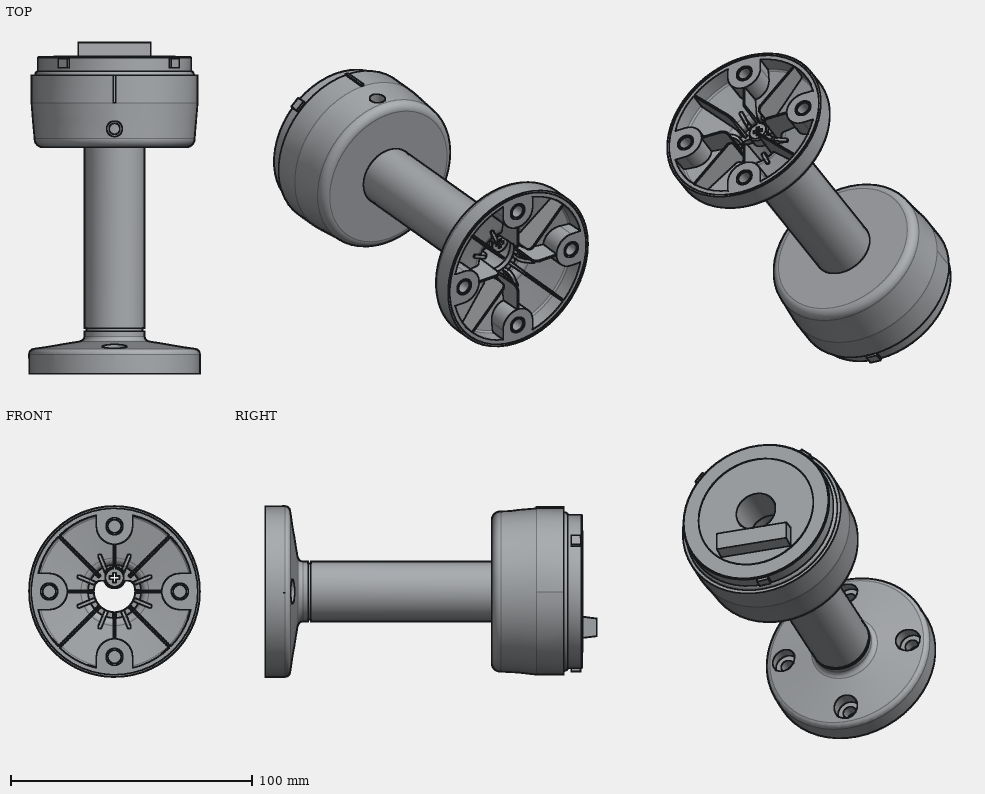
import cadquery as cq
import math

OVERALL_LENGTH = 137.5

SELECT_MARGIN = 0.1

ARC_BEND = 1 - math.sqrt(0.5)

FOOT_RADIUS = 35.5
FOOT_RIM_TOP = 10.0
FOOT_EDGE_FILLET = 2.3
CONE_TOP_RADIUS = 12.5
CONE_TOP = 13.8
NECK_FILLET = 2.2
FACE_RADIUS = 34.5
FACE_RECESS = 0.1
BOWL_MOUTH_RADIUS = 32.6
BOWL_FLOOR_RADIUS = 32.3
CONE_WALL = 2.9
BOWL_FLOOR_FILLET = 0.8
BOWL_FILLET = 3.0

POLE_RADIUS = 12.5
POLE_BORE_RADIUS = 11.0
POLE_END = 112.8
GROOVE_START = 17.7
GROOVE_WIDTH = 1.2
GROOVE_RADIUS = 11.7

PAD_COUNT = 4
PAD_WIDTH = 15.0
PAD_PITCH_RADIUS = 27.1
SCREW_HOLE_DIAMETER = 5.5
SCREW_HOLE_MOUTH_DIAMETER = 7.0
SCREW_HOLE_MOUTH_DEPTH = 0.3
COUNTERBORE_DIAMETER = 10.0
COUNTERBORE_FLOOR = 6.2

RIB_COUNT = 8
RIB_EDGE_THICKNESS = 0.7
RIB_ROOT_THICKNESS = 1.4
WEB_INNER_RADIUS = 8.7
WEB_CORNER_RADIUS = 2.8
WEB_END = 16.5
FIN_COUNT = 8
FIN_THICKNESS = 1.5
FIN_OUTER_RADIUS = 16.6
FIN_EDGE = 9.6

PLATE_FRONT = 15.1
PLATE_THICKNESS = 2.8
BOSS_FACE = 13.0
OPENING_DIAMETER = 17.0
OPENING_TOP_Z = 4.4
OPENING_CORNER_FILLET = 2.5
BOSS_Z = 5.8
BOSS_DIAMETER = 9.0
BOSS_FACE_DIAMETER = 7.5
BOSS_WIDTH = 7.8
CROSS_LENGTH = 4.0
CROSS_WIDTH = 1.2

HEAD_FRONT = 93.9
HEAD_FRONT_FILLET = 3.6
TAPER_START = 97.6
TAPER_START_RADIUS = 33.3
RING_FRONT = 112.3
RING_BACK = 123.9
RING_RADIUS = 34.5
COLLAR_BACK = 125.5
COLLAR_RADIUS = 33.0
COLLAR_ROUND = 1.8
RIM_RADIUS = 31.9
RIM_BACK = 131.5
RIM_CHAMFER = 0.4
BACK_DISC_RADIUS = 25.0
BACK_DISC_HEIGHT = 0.3
MARK_WIDTH = 1.2
MARK_HEIGHT = 0.5

LUG_ANGLES = (40.5, 130.5, 265.5)
LUG_WIDTH = 4.8
LUG_RADIUS = 33.1
LUG_FRONT = 126.9
LUG_BACK = 130.8

PLUG_WIDTH = 30.2
PLUG_CENTRE_Z = -14.8
PLUG_ROOT_HEIGHT = 9.0
PLUG_TIP_HEIGHT = 7.4

SET_SCREW_Y = 101.6
SET_SCREW_MOUTH_DIAMETER = 6.5
SET_SCREW_DIAMETER = 4.5
SET_SCREW_STEP_RADIUS = 27.5


def plane_at(y):
    """Plane facing -Y at the given height; its local axes are X and Z. Extrude negative to go to +Y."""
    return cq.Workplane("XZ", origin=(0, y, 0))


def disc(radius, start, end, x=0.0, z=0.0):
    """Cylinder along Y between two heights."""
    return plane_at(start).center(x, z).circle(radius).extrude(start - end)


def turned(outline):
    """Revolve a closed (radius, height) outline around the Y axis."""
    return outline.close().revolve(360, (0, 0, 0), (0, 1, 0))


def fillet_edge_at(body, height, radius):
    """Round the circular edge of a turned body that lies at one height."""
    reach = FOOT_RADIUS + SELECT_MARGIN
    level = cq.selectors.BoxSelector(
        (-reach, height - SELECT_MARGIN, -reach),
        (reach, height + SELECT_MARGIN, reach),
    )
    return body.edges("%CIRCLE").edges(level).fillet(radius)


def around_axis(shape, angle):
    """Turn a shape around Y, anticlockwise as seen from the foot, starting at +X."""
    return shape.rotate((0, 0, 0), (0, 1, 0), -angle)




def stand_envelope():
    """Outside of the foot and the pole, still solid and without the groove."""
    outline = (
        cq.Workplane("XY")
        .moveTo(0, 0)
        .lineTo(FOOT_RADIUS, 0)
        .lineTo(FOOT_RADIUS, FOOT_RIM_TOP)
        .lineTo(CONE_TOP_RADIUS, CONE_TOP)
        .lineTo(POLE_RADIUS, POLE_END)
        .lineTo(0, POLE_END)
    )
    body = fillet_edge_at(turned(outline), FOOT_RIM_TOP, FOOT_EDGE_FILLET)
    return fillet_edge_at(body, CONE_TOP, NECK_FILLET)


def cone_inside(radius):
    """Height of the inner cone surface of the foot at a radius."""
    slope = (CONE_TOP - FOOT_RIM_TOP) / (FOOT_RADIUS - CONE_TOP_RADIUS)
    return CONE_TOP - CONE_WALL - slope * (radius - CONE_TOP_RADIUS)


def stand_cavity():
    """Bowl of the foot running with a rounded throat into the bore of the pole."""
    throat_radius = POLE_BORE_RADIUS + BOWL_FILLET
    throat_start = cone_inside(throat_radius)
    throat_end = throat_start + BOWL_FILLET
    bend = BOWL_FILLET * ARC_BEND
    outline = (
        cq.Workplane("XY")
        .moveTo(0, 0)
        .lineTo(BOWL_MOUTH_RADIUS, 0)
        .lineTo(BOWL_FLOOR_RADIUS, cone_inside(BOWL_FLOOR_RADIUS))
        .lineTo(throat_radius, throat_start)
        .threePointArc((POLE_BORE_RADIUS + bend, throat_start + bend), (POLE_BORE_RADIUS, throat_end))
        .lineTo(POLE_BORE_RADIUS, POLE_END)
        .lineTo(0, POLE_END)
    )
    return fillet_edge_at(turned(outline), cone_inside(BOWL_FLOOR_RADIUS), BOWL_FLOOR_FILLET)


def screw_pad():
    """Round-ended pad on the +X side, reaching outward into the rim."""
    round_end = disc(PAD_WIDTH / 2, 0, CONE_TOP, x=PAD_PITCH_RADIUS)
    length = FOOT_RADIUS - PAD_PITCH_RADIUS
    block = (
        plane_at(0)
        .center(PAD_PITCH_RADIUS + length / 2, 0)
        .rect(length, PAD_WIDTH)
        .extrude(-CONE_TOP)
    )
    return round_end.union(block)


def screw_hole():
    """Screw hole on the +X side with a shallow wider mouth and a counterbore from the cone."""
    hole = disc(SCREW_HOLE_DIAMETER / 2, 0, CONE_TOP, x=PAD_PITCH_RADIUS)
    counterbore = disc(COUNTERBORE_DIAMETER / 2, COUNTERBORE_FLOOR, CONE_TOP, x=PAD_PITCH_RADIUS)
    mouth_floor = FACE_RECESS + SCREW_HOLE_MOUTH_DEPTH
    mouth = disc(SCREW_HOLE_MOUTH_DIAMETER / 2, 0, mouth_floor, x=PAD_PITCH_RADIUS)
    return hole.union(counterbore).union(mouth)


def web_outline(edge):
    """Radial half-plane outline, from a free edge at the given height down to the bore, corner rounded."""
    corner = WEB_CORNER_RADIUS
    bend = corner * ARC_BEND
    return (
        cq.Workplane("XY")
        .moveTo(FOOT_RADIUS, edge)
        .lineTo(WEB_INNER_RADIUS + corner, edge)
        .threePointArc(
            (WEB_INNER_RADIUS + bend, edge + bend),
            (WEB_INNER_RADIUS, edge + corner),
        )
        .lineTo(WEB_INNER_RADIUS, WEB_END)
        .lineTo(FOOT_RADIUS, WEB_END)
        .close()
    )


def rib():
    """Rib on the +X side from the rim to just inside the bore, thinner at its free edge."""
    edge = RIB_EDGE_THICKNESS / 2
    root = RIB_ROOT_THICKNESS / 2
    section = cq.Workplane("YZ").polyline([(0, -edge), (WEB_END, -root), (WEB_END, root), (0, edge)])
    bar = section.close().extrude(FOOT_RADIUS)
    return bar.intersect(web_outline(0).extrude(RIB_ROOT_THICKNESS, both=True))


def fin():
    """Short round-ended fin on the +X side, standing out of the throat."""
    length = 2 * FIN_OUTER_RADIUS
    bar = plane_at(0).slot2D(length, FIN_THICKNESS).extrude(-WEB_END)
    return bar.intersect(web_outline(FIN_EDGE).extrude(FIN_THICKNESS, both=True))


def throat_plate():
    """Plate across the bore with a cable opening: round with a flat top, indented around the screw boss."""
    start = PLATE_FRONT
    end = PLATE_FRONT + PLATE_THICKNESS
    below_top = (
        plane_at(start)
        .center(0, OPENING_TOP_Z - OPENING_DIAMETER / 2)
        .rect(OPENING_DIAMETER, OPENING_DIAMETER)
        .extrude(start - end)
    )
    opening = disc(OPENING_DIAMETER / 2, start, end).intersect(below_top)
    opening = opening.edges("|Y").edges(">Z").fillet(OPENING_CORNER_FILLET)
    opening = opening.cut(disc(BOSS_DIAMETER / 2, start, end, z=BOSS_Z))
    return disc(POLE_BORE_RADIUS, start, end).cut(opening)


def screw_boss():
    """Chamfered boss with two flats, standing from the throat plate towards the bowl."""
    boss = disc(BOSS_DIAMETER / 2, BOSS_FACE, PLATE_FRONT, z=BOSS_Z)
    boss = boss.faces("<Y").chamfer((BOSS_DIAMETER - BOSS_FACE_DIAMETER) / 2)
    between_flats = plane_at(0).center(0, BOSS_Z).rect(BOSS_WIDTH, BOSS_DIAMETER).extrude(-PLATE_FRONT)
    return boss.intersect(between_flats)


def boss_clearance():
    """Room in front of the screw boss, so that the rib and fins beside it stop short."""
    return disc(BOSS_DIAMETER / 2, 0, BOSS_FACE, z=BOSS_Z)


def cross_hole():
    """Cross-shaped hole through the screw boss and the throat plate."""
    depth = PLATE_FRONT + PLATE_THICKNESS - BOSS_FACE
    base = plane_at(BOSS_FACE).center(0, BOSS_Z)
    across = base.rect(CROSS_LENGTH, CROSS_WIDTH).extrude(-depth)
    upright = base.rect(CROSS_WIDTH, CROSS_LENGTH).extrude(-depth)
    return across.union(upright)


def make_stand():
    envelope = stand_envelope()
    stand = envelope.cut(stand_cavity())

    inside = screw_pad()
    for i in range(1, PAD_COUNT):
        inside = inside.union(around_axis(screw_pad(), i * 360 / PAD_COUNT))
    for i in range(RIB_COUNT):
        inside = inside.union(around_axis(rib(), i * 360 / RIB_COUNT))
    for i in range(FIN_COUNT):
        inside = inside.union(around_axis(fin(), (i + 0.5) * 360 / FIN_COUNT))
    inside = inside.cut(boss_clearance())
    stand = stand.union(inside.intersect(envelope))

    stand = stand.union(throat_plate()).union(screw_boss())
    stand = stand.cut(cross_hole())

    stand = stand.cut(disc(FACE_RADIUS, 0, FACE_RECESS))
    for i in range(PAD_COUNT):
        stand = stand.cut(around_axis(screw_hole(), i * 360 / PAD_COUNT))

    groove_end = GROOVE_START + GROOVE_WIDTH
    groove = disc(FOOT_RADIUS, GROOVE_START, groove_end).cut(disc(GROOVE_RADIUS, GROOVE_START, groove_end))
    return stand.cut(groove)




def head_blank():
    """Turned outside of the head."""
    outline = (
        cq.Workplane("XY")
        .moveTo(0, HEAD_FRONT)
        .lineTo(TAPER_START_RADIUS - HEAD_FRONT_FILLET, HEAD_FRONT)
        .threePointArc(
            (
                TAPER_START_RADIUS - HEAD_FRONT_FILLET * ARC_BEND,
                HEAD_FRONT + (TAPER_START - HEAD_FRONT) * ARC_BEND,
            ),
            (TAPER_START_RADIUS, TAPER_START),
        )
        .lineTo(RING_RADIUS, RING_FRONT)
        .lineTo(RING_RADIUS, RING_BACK)
        .lineTo(COLLAR_RADIUS, RING_BACK)
        .radiusArc((RIM_RADIUS, COLLAR_BACK), -COLLAR_ROUND)
        .lineTo(RIM_RADIUS, RIM_BACK - RIM_CHAMFER)
        .lineTo(RIM_RADIUS - RIM_CHAMFER, RIM_BACK)
        .lineTo(0, RIM_BACK)
    )
    return turned(outline)


def head_mark():
    """Narrow raised line along the top of the ring."""
    return (
        plane_at(RING_FRONT)
        .center(0, RING_RADIUS)
        .rect(MARK_WIDTH, 2 * MARK_HEIGHT)
        .extrude(RING_FRONT - RING_BACK)
    )


def bayonet_lug():
    """Lug on the +X side of the rim."""
    outer = LUG_RADIUS - RIM_RADIUS
    return (
        plane_at(LUG_FRONT)
        .center(RIM_RADIUS, 0)
        .rect(2 * outer, LUG_WIDTH)
        .extrude(LUG_FRONT - LUG_BACK)
    )


def plug():
    """Plug that narrows towards its tip, with straight ends in X."""
    root = PLUG_ROOT_HEIGHT / 2
    tip = PLUG_TIP_HEIGHT / 2
    outline = cq.Workplane("YZ", origin=(0, 0, PLUG_CENTRE_Z)).polyline(
        [(RIM_BACK, -root), (OVERALL_LENGTH, -tip), (OVERALL_LENGTH, tip), (RIM_BACK, root)]
    )
    return outline.close().extrude(PLUG_WIDTH / 2, both=True)


def set_screw_hole():
    """Stepped hole from the top of the head down to the pole."""
    mouth = (
        cq.Workplane("XY", origin=(0, SET_SCREW_Y, SET_SCREW_STEP_RADIUS))
        .circle(SET_SCREW_MOUTH_DIAMETER / 2)
        .extrude(RING_RADIUS - SET_SCREW_STEP_RADIUS)
    )
    hole = (
        cq.Workplane("XY", origin=(0, SET_SCREW_Y, 0))
        .circle(SET_SCREW_DIAMETER / 2)
        .extrude(RING_RADIUS)
    )
    return mouth.union(hole)


def make_head():
    head = head_blank()
    head = head.union(disc(BACK_DISC_RADIUS, RIM_BACK, RIM_BACK + BACK_DISC_HEIGHT))
    head = head.union(head_mark()).union(plug())
    for angle in LUG_ANGLES:
        head = head.union(around_axis(bayonet_lug(), angle))

    head = head.cut(set_screw_hole())
    head = head.cut(disc(POLE_RADIUS, HEAD_FRONT, POLE_END))
    return head.cut(disc(OPENING_DIAMETER / 2, POLE_END, OVERALL_LENGTH))


stand = make_stand()
head = make_head()
result = cq.Compound.makeCompound([stand.val(), head.val()])